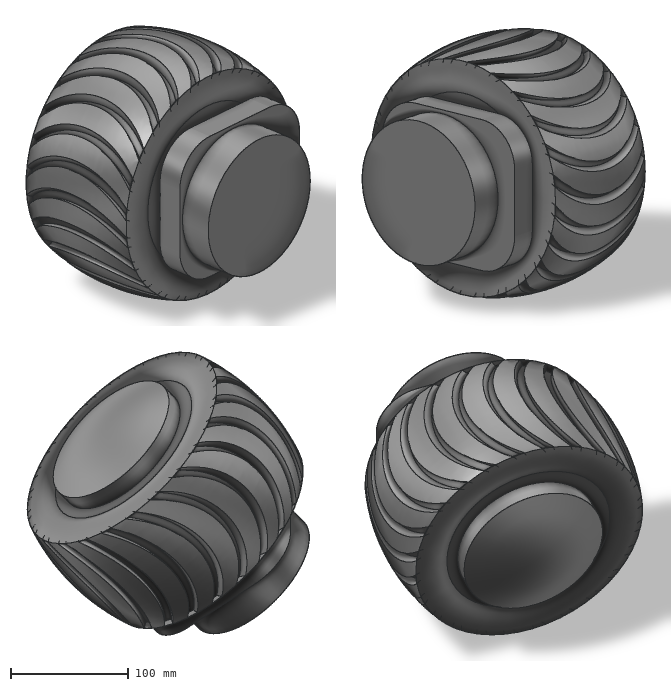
import cadquery as cq
import math


tyre_radius = 112.5
shoulder_radius = 104.0
bulge_radius = 92.2
bead_radius = 74.7
shoulder_x = 58.2
bulge_x = 59.4
bead_x = 56.2

groove_count = 24
groove_pitch = 360 / groove_count
groove_start = 4.4
groove_depth = 6.5
groove_end_x = 57.8
groove_drop = 25.0
groove_widening = 0.3
groove_overshoot = 0.6
groove_sections = 9

leading_lip = 2.2
leading_floor = 0.1
trailing_floor = -3.6
trailing_lip = -2.3

cap_radius = 63.5
cap_face_x = -71.3
cap_apex_x = -86.1
cap_offset_y = 1.46

neck_radius = 60.0
axle_radius = 63.6
collar_front_x = 63.5
collar_back_x = 86.4
axle_end_x = 116.3
collar_height = 134.0
collar_width = 149.3
collar_corner_radius = 37.3
collar_offset_y = 7.6

crown_sag = tyre_radius - shoulder_radius
crown_arc_radius = (shoulder_x**2 + crown_sag**2) / (2 * crown_sag)
groove_arc_radius = (groove_end_x**2 + groove_drop**2) / (2 * groove_drop)


def arc_sag(arc_radius, x):
    """Fall of an arc below its top, at distance x from its middle."""
    return arc_radius - math.sqrt(arc_radius**2 - x**2)


def make_tyre_blank():
    """Ring with a bowed crown and bulging sidewalls."""
    return (
        cq.Workplane("XY")
        .moveTo(-bead_x, bead_radius)
        .threePointArc((-bulge_x, bulge_radius), (-shoulder_x, shoulder_radius))
        .threePointArc((0, tyre_radius), (shoulder_x, shoulder_radius))
        .threePointArc((bulge_x, bulge_radius), (bead_x, bead_radius))
        .close()
        .revolve(360, (0, 0, 0), (1, 0, 0))
    )


def groove_section(x):
    """Four-sided section of a groove at x: floor below the crown, walls carried on past their lips."""
    crown_radius = tyre_radius - arc_sag(crown_arc_radius, x)
    floor_radius = crown_radius - groove_depth
    drop = arc_sag(groove_arc_radius, x)
    centre_angle = math.radians(groove_start) - math.asin(drop / crown_radius)
    widening = 1 + groove_widening * drop / groove_drop

    def point(radius, degrees_ahead):
        angle = centre_angle + math.radians(degrees_ahead * widening)
        return cq.Vector(x, -radius * math.cos(angle), radius * math.sin(angle))

    def beyond(floor_point, lip_point):
        return lip_point + (lip_point - floor_point) * groove_overshoot

    front_floor = point(floor_radius, leading_floor)
    back_floor = point(floor_radius, trailing_floor)
    front_top = beyond(front_floor, point(crown_radius, leading_lip))
    back_top = beyond(back_floor, point(crown_radius, trailing_lip))
    return cq.Wire.makePolygon([front_floor, front_top, back_top, back_floor], close=True)


def make_groove_cutter():
    step = 2 * groove_end_x / (groove_sections - 1)
    sections = [groove_section(-groove_end_x + i * step) for i in range(groove_sections)]
    return cq.Solid.makeLoft(sections)


def make_tyre():
    groove = make_groove_cutter()
    grooves = [
        groove.rotate(cq.Vector(0, 0, 0), cq.Vector(1, 0, 0), i * groove_pitch) for i in range(groove_count)
    ]
    return cq.Workplane(make_tyre_blank().val().cut(*grooves))


def make_rim():
    """Solid drum that fills the tyre from bead to bead."""
    return cq.Workplane("YZ", origin=(-bead_x, 0, 0)).circle(bead_radius).extrude(2 * bead_x)


def make_cap():
    """Domed disc against the rim, set slightly off the wheel axis."""
    dome_height = cap_face_x - cap_apex_x
    dome_radius = (cap_radius**2 + dome_height**2) / (2 * dome_height)
    half_radius = cap_radius / 2
    dome_middle = (cap_apex_x + arc_sag(dome_radius, half_radius), half_radius)
    return (
        cq.Workplane("XY")
        .moveTo(cap_apex_x, 0)
        .threePointArc(dome_middle, (cap_face_x, cap_radius))
        .lineTo(-bead_x, cap_radius)
        .lineTo(-bead_x, 0)
        .close()
        .revolve(360, (0, 0, 0), (1, 0, 0))
        .translate((0, cap_offset_y, 0))
    )


def make_axle():
    """Neck that leaves the rim and passes the collar, then the wider end."""
    neck = cq.Workplane("YZ", origin=(bead_x, 0, 0)).circle(neck_radius).extrude(collar_back_x - bead_x)
    end = (
        cq.Workplane("YZ", origin=(collar_back_x, 0, 0)).circle(axle_radius).extrude(axle_end_x - collar_back_x)
    )
    return neck.union(end)


def make_collar():
    """Rounded block around the neck, longer on the +Y side."""
    thickness = collar_back_x - collar_front_x
    block = (
        cq.Workplane("YZ", origin=(collar_front_x, 0, 0))
        .center(collar_offset_y, 0)
        .rect(collar_width, collar_height)
        .extrude(thickness)
        .edges("|X")
        .fillet(collar_corner_radius)
    )
    bore = cq.Workplane("YZ", origin=(collar_front_x, 0, 0)).circle(neck_radius).extrude(thickness)
    return block.cut(bore)


tyre = make_tyre()
rim = make_rim()
cap = make_cap()
axle = make_axle()
collar = make_collar()

result = cq.Compound.makeCompound([tyre.val(), rim.val(), cap.val(), axle.val(), collar.val()])